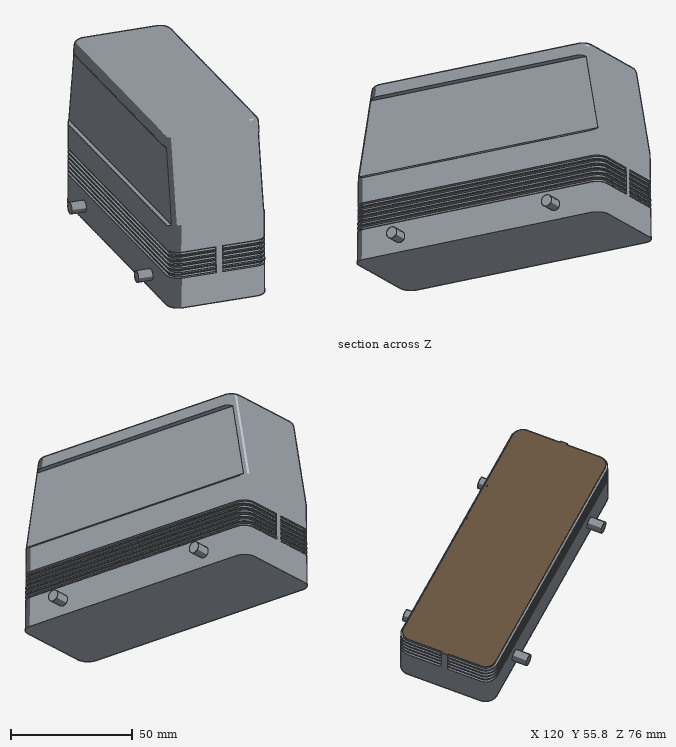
import cadquery as cq
import math

LENGTH = 120.0
WIDTH = 43.1
HEIGHT = 76.0

SHOULDER_Z = 37.0
WALL_DRAFT = 0.8
ROOF_TAPER = 10.0
CORNER_RADIUS = 5.2
ROOF_EDGE_RADIUS = 2.5

PANEL_DEPTH = 1.15
PANEL_TOP_Z = 69.2
PANEL_TOP_SLOPE = 0.9
PANEL_BOTTOM_SLOPE = 1.1

GROOVE_COUNT = 6
GROOVE_PITCH = 2.0
GROOVE_WIDTH = 1.5
GROOVE_FLOOR_WIDTH = 0.9
GROOVE_DEPTH = 1.0
GROOVE_DEPTH_AT_ENDS = 0.8
FIRST_GROOVE_Z = 14.1
END_RIB_WIDTH = 3.0

PIN_DIAMETER = 4.9
PIN_SPACING = 74.6
PIN_Z = 6.6
PIN_SPAN = 55.8


def half_length(z):
    """Half of the hood length at height z, at or below the shoulder."""
    return LENGTH / 2 - z * math.tan(math.radians(WALL_DRAFT))


def make_body():
    """Solid hood with tapered ends, rounded corners and a rounded roof edge."""
    shoulder = half_length(SHOULDER_Z)
    roof = shoulder - (HEIGHT - SHOULDER_Z) * math.tan(math.radians(ROOF_TAPER))
    body = (
        cq.Workplane("XZ")
        .polyline([
            (-LENGTH / 2, 0),
            (LENGTH / 2, 0),
            (shoulder, SHOULDER_Z),
            (roof, HEIGHT),
            (-roof, HEIGHT),
            (-shoulder, SHOULDER_Z),
        ])
        .close()
        .extrude(WIDTH / 2, both=True)
    )
    body = body.edges("(not #Z) and (not |X) and (not |Y)").fillet(CORNER_RADIUS)
    return body.faces(">Z").edges().fillet(ROOF_EDGE_RADIUS)


def make_panel_cutter():
    """Prism along X that removes the recess on the -Y side."""
    outer = -WIDTH / 2
    floor = outer + PANEL_DEPTH
    return (
        cq.Workplane("YZ")
        .polyline([
            (outer, SHOULDER_Z - PANEL_BOTTOM_SLOPE),
            (floor, SHOULDER_Z),
            (floor, PANEL_TOP_Z),
            (outer, PANEL_TOP_Z + PANEL_TOP_SLOPE),
        ])
        .close()
        .extrude(LENGTH / 2, both=True)
    )


def outline_block(z, height, half_x, inset=0.0, taper=0.0):
    """Extrude a rounded outline from height z; inset moves its long sides inward."""
    return (
        cq.Workplane("XY")
        .workplane(offset=z)
        .sketch()
        .rect(2 * half_x, WIDTH - 2 * inset)
        .vertices()
        .fillet(CORNER_RADIUS - inset)
        .finalize()
        .extrude(height, taper=taper)
    )


def make_groove_cutter(z):
    """Ring with sloped flanks that cuts one groove centred on height z.

    All groove floors stand on one vertical wall, so the drafted end walls
    make the upper grooves slightly shallower there.
    """
    bottom = z - GROOVE_WIDTH / 2
    top = z + GROOVE_WIDTH / 2
    floor_half_x = half_length(FIRST_GROOVE_Z) - GROOVE_DEPTH_AT_ENDS
    flank_height = (GROOVE_WIDTH - GROOVE_FLOOR_WIDTH) / 2
    flank_taper = math.degrees(math.atan(GROOVE_DEPTH / flank_height))
    ring = cq.Workplane("XY").workplane(offset=bottom).rect(2 * LENGTH, 2 * WIDTH).extrude(GROOVE_WIDTH)
    ring = ring.cut(outline_block(bottom, GROOVE_WIDTH, floor_half_x, inset=GROOVE_DEPTH))
    ring = ring.cut(outline_block(bottom, flank_height, half_length(bottom), taper=flank_taper))
    ring = ring.cut(outline_block(top, -flank_height, half_length(top), taper=flank_taper))
    end_ribs = cq.Workplane("XY").workplane(offset=z).box(2 * LENGTH, END_RIB_WIDTH, 2 * GROOVE_WIDTH)
    return ring.cut(end_ribs)


def make_pin(x):
    """Round pin running through the hood along Y."""
    return (
        cq.Workplane("XZ")
        .center(x, PIN_Z)
        .circle(PIN_DIAMETER / 2)
        .extrude(PIN_SPAN / 2, both=True)
    )


result = make_body()

panel_cutter = make_panel_cutter()
result = result.cut(panel_cutter).cut(panel_cutter.mirror("XZ"))

for index in range(GROOVE_COUNT):
    result = result.cut(make_groove_cutter(FIRST_GROOVE_Z + index * GROOVE_PITCH))

for side in (-1, 1):
    result = result.union(make_pin(side * PIN_SPACING / 2))